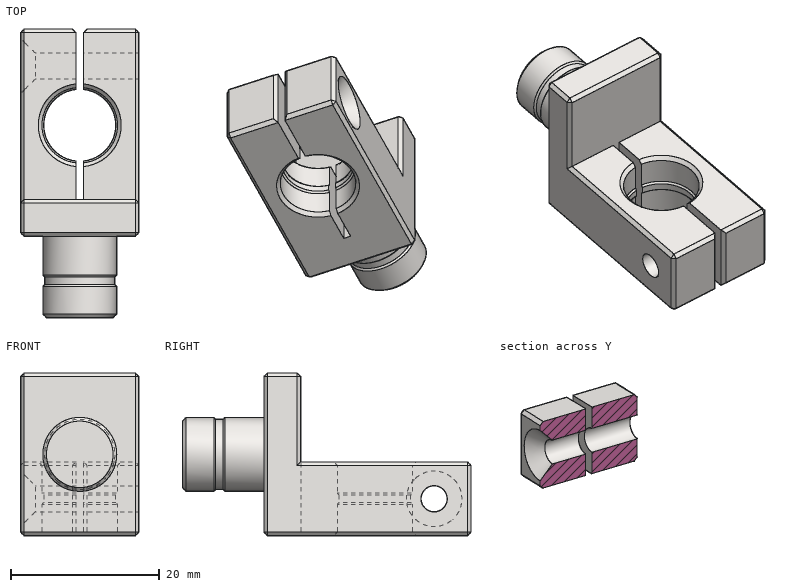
import cadquery as cq

WIDTH = 16.0
BODY_LENGTH = 28.0
BODY_HEIGHT = 22.0
PLATE_THICKNESS = 5.0
ARM_HEIGHT = 10.0
EDGE_CHAMFER = 0.5

PIN_DIAMETER = 10.0
PIN_LENGTH = 11.0
PIN_HEIGHT = BODY_HEIGHT / 2
PIN_GROOVE_DISTANCE = 6.0

SNAP_DEPTH = 0.25
SNAP_FLAT = 1.0

BORE_CLEARANCE = 0.2
BORE_DIAMETER = PIN_DIAMETER + BORE_CLEARANCE
BORE_FROM_END = 13.0
BORE_Y = BODY_LENGTH - BORE_FROM_END

SLOT_WIDTH = 1.0
SCREW_DIAMETER = 3.5
COUNTERSINK_DIAMETER = 7.5
SCREW_FROM_END = 5.0
SCREW_Y = BODY_LENGTH - SCREW_FROM_END
SCREW_Z = ARM_HEIGHT / 2


def make_body():
    """L-shaped block with every outer edge chamfered; the inner corner stays sharp."""
    profile = [
        (0, 0),
        (BODY_LENGTH, 0),
        (BODY_LENGTH, ARM_HEIGHT),
        (PLATE_THICKNESS, ARM_HEIGHT),
        (PLATE_THICKNESS, BODY_HEIGHT),
        (0, BODY_HEIGHT),
    ]
    block = cq.Workplane("YZ").polyline(profile).close().extrude(WIDTH / 2, both=True)
    inner_corner = block.edges(cq.NearestToPointSelector((0, PLATE_THICKNESS, ARM_HEIGHT))).val()
    outer_edges = [edge for edge in block.edges().vals() if not edge.isSame(inner_corner)]
    return block.newObject(outer_edges).chamfer(EDGE_CHAMFER)


def revolve_about_z(profile):
    """Solid of revolution about Z from a closed list of (radius, height) points."""
    return cq.Workplane("XZ").polyline(profile).close().revolve(360, (0, 0, 0), (0, 1, 0))


def snap_points(radius, middle):
    """Four (radius, height) points of a trapezoidal notch into a cylinder, from low to high."""
    half_flat = SNAP_FLAT / 2
    half_mouth = half_flat + SNAP_DEPTH
    return [
        (radius, middle - half_mouth),
        (radius - SNAP_DEPTH, middle - half_flat),
        (radius - SNAP_DEPTH, middle + half_flat),
        (radius, middle + half_mouth),
    ]


def make_pin():
    """Pin with a snap groove and a chamfered tip."""
    radius = PIN_DIAMETER / 2
    profile = [
        (0, 0),
        (radius, 0),
        *snap_points(radius, PIN_GROOVE_DISTANCE),
        (radius, PIN_LENGTH - EDGE_CHAMFER),
        (radius - EDGE_CHAMFER, PIN_LENGTH),
        (0, PIN_LENGTH),
    ]
    pin = revolve_about_z(profile).rotate((0, 0, 0), (1, 0, 0), 90)
    return pin.translate((0, 0, PIN_HEIGHT))


def make_bore_cutter():
    """Bore with chamfered mouths, leaving a snap ridge at half the arm height."""
    radius = BORE_DIAMETER / 2
    mouth_radius = radius + EDGE_CHAMFER
    profile = [
        (0, 0),
        (mouth_radius, 0),
        (radius, EDGE_CHAMFER),
        *snap_points(radius, ARM_HEIGHT / 2),
        (radius, ARM_HEIGHT - EDGE_CHAMFER),
        (mouth_radius, ARM_HEIGHT),
        (0, ARM_HEIGHT),
    ]
    return revolve_about_z(profile).translate((0, BORE_Y, 0))


def make_slot_cutter():
    """Slot from the plate to the free end, with a chamfered opening at that end."""
    half_slot = SLOT_WIDTH / 2
    half_mouth = half_slot + EDGE_CHAMFER
    outline = [
        (-half_slot, PLATE_THICKNESS),
        (half_slot, PLATE_THICKNESS),
        (half_slot, BODY_LENGTH - EDGE_CHAMFER),
        (half_mouth, BODY_LENGTH),
        (-half_mouth, BODY_LENGTH),
        (-half_slot, BODY_LENGTH - EDGE_CHAMFER),
    ]
    return cq.Workplane("XY").polyline(outline).close().extrude(ARM_HEIGHT)


def make_screw_cutter():
    """Through hole along X, countersunk on the -X side."""
    hole_radius = SCREW_DIAMETER / 2
    sink_radius = COUNTERSINK_DIAMETER / 2
    sink_depth = sink_radius - hole_radius
    profile = [
        (0, 0),
        (sink_radius, 0),
        (hole_radius, sink_depth),
        (hole_radius, WIDTH),
        (0, WIDTH),
    ]
    cutter = revolve_about_z(profile).rotate((0, 0, 0), (0, 1, 0), 90)
    return cutter.translate((-WIDTH / 2, SCREW_Y, SCREW_Z))


result = (
    make_body()
    .union(make_pin())
    .cut(make_bore_cutter())
    .cut(make_slot_cutter())
    .cut(make_screw_cutter())
)